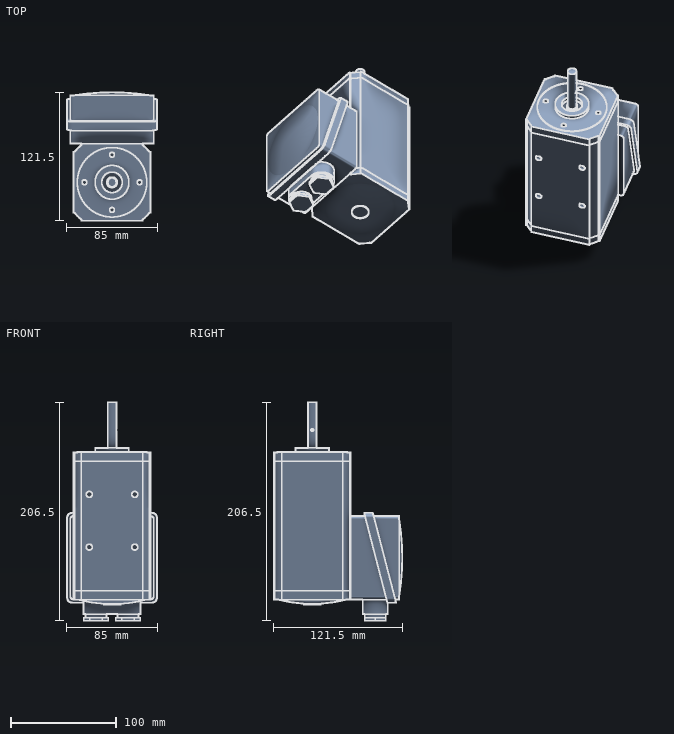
import cadquery as cq
import math


body_side = 72.9
body_face_width = 57.8
body_corner_radius = 45.6
motor_height = 138.8
end_plate_thickness = 8.0
face_y = body_side / 2

disc_radius = 32.8
disc_height = 0.6
pilot_diameter = 32.0
pilot_height = 4.3
recess_radius = 9.7
flange_hole_radius = 2.3
flange_hole_circle = 26.0

shaft_diameter = 8.5
shaft_top = 186.3
collar_radius = 5.0
collar_height = 1.9
cross_hole_radius = 1.0
cross_hole_z = 160.0

side_hole_diameter = 5.5
side_hole_depth = 10.3
side_hole_spacing_x = 43.0
side_hole_spacing_z = 49.8
side_hole_middle_z = 74.3

dome_radius = disc_radius
dome_height = 4.3
nub_radius = 8.0
nub_bottom = -5.0

box_side = 78.9
box_back_y = 82.0
box_corner_radius = 3.0
box_dome_height = 3.0
box_dome_radius = 37.2

band_side = 85.0
band_corner_radius = 5.2
band_width_y = 8.3
band_slope = math.tan(math.radians(14.5))
band_middle_y = 64.0

entry_y = 59.5
entry_radius = 12.0
entry_bottom = -13.8
gland_spacing = 30.1
gland_neck_diameter = 20.0
gland_neck_bottom = -17.1
gland_bottom = -20.2
gland_flats = 20.2
gland_corners = gland_flats / math.cos(math.radians(30))


def cylinder(radius, z_bottom, z_top):
    """Upright cylinder on the motor axis."""
    return cq.Workplane("XY").workplane(offset=z_bottom).circle(radius).extrude(z_top - z_bottom)


def square_section(z_bottom, z_top):
    """Length of the square body, its corners notched back to a circle about the axis."""
    plane = cq.Workplane("XY").workplane(offset=z_bottom)
    height = z_top - z_bottom
    rounded_square = plane.rect(body_side, body_side).extrude(height).intersect(
        cylinder(body_corner_radius, z_bottom, z_top)
    )
    faces_x = plane.rect(body_side, body_face_width).extrude(height)
    faces_y = plane.rect(body_face_width, body_side).extrude(height)
    return rounded_square.union(faces_x).union(faces_y).clean()


def spherical_cap(base_radius, height):
    """Shallow dome on the XY plane, bulging toward +Z."""
    sphere_radius = (base_radius**2 + height**2) / (2 * height)
    sphere = cq.Workplane("XY").sphere(sphere_radius).translate((0, 0, height - sphere_radius))
    return sphere.intersect(cylinder(base_radius, 0, height))


def make_flange():
    bottom = motor_height - end_plate_thickness
    pilot_top = motor_height + pilot_height
    flange = square_section(bottom, motor_height)
    flange = flange.union(cylinder(disc_radius, motor_height, motor_height + disc_height))
    flange = flange.union(cylinder(pilot_diameter / 2, motor_height, pilot_top))
    flange = flange.cut(cylinder(recess_radius, motor_height, pilot_top))
    flange = flange.cut(cylinder(collar_radius, bottom, motor_height))
    bolt_holes = (
        cq.Workplane("XY")
        .workplane(offset=bottom)
        .polarArray(flange_hole_circle, 0, 360, 4)
        .circle(flange_hole_radius)
        .extrude(end_plate_thickness + disc_height)
    )
    return flange.cut(bolt_holes)


def make_tube():
    tube = square_section(end_plate_thickness, motor_height - end_plate_thickness)
    side_holes = (
        cq.Workplane("XZ", origin=(0, -face_y, side_hole_middle_z))
        .rarray(side_hole_spacing_x, side_hole_spacing_z, 2, 2)
        .circle(side_hole_diameter / 2)
        .extrude(-side_hole_depth)
    )
    return tube.cut(side_holes)


def make_rear_cap():
    dome = spherical_cap(dome_radius, dome_height).rotate((0, 0, 0), (1, 0, 0), 180)
    cap = square_section(0, end_plate_thickness).union(dome)
    return cap.union(cylinder(nub_radius, nub_bottom, 0))


def make_shaft():
    shaft = cylinder(shaft_diameter / 2, motor_height, shaft_top)
    collar = cylinder(collar_radius, motor_height - end_plate_thickness, motor_height + collar_height)
    cross_hole = (
        cq.Workplane("YZ", origin=(0, 0, cross_hole_z))
        .circle(cross_hole_radius)
        .extrude(shaft_diameter / 2, both=True)
    )
    return shaft.union(collar).cut(cross_hole)


def rounded_prism(side, corner_radius, y_front, y_back):
    """Square prism along Y, centred on the terminal box, with rounded lengthwise edges."""
    return (
        cq.Workplane("XZ", origin=(0, y_front, box_side / 2))
        .rect(side, side)
        .extrude(y_front - y_back)
        .edges("|Y")
        .fillet(corner_radius)
    )


def make_band():
    """Rounded square band between two parallel planes that lean toward the motor at the top."""
    half_height = band_side / 2
    lean = band_slope * half_height
    half_width = band_width_y / 2
    slanted_slice = (
        cq.Workplane("YZ", origin=(0, band_middle_y, box_side / 2))
        .polyline([
            (lean - half_width, -half_height),
            (lean + half_width, -half_height),
            (-lean + half_width, half_height),
            (-lean - half_width, half_height),
        ])
        .close()
        .extrude(half_height, both=True)
    )
    return rounded_prism(band_side, band_corner_radius, face_y, box_back_y).intersect(slanted_slice)


def make_terminal_box():
    back_dome = (
        spherical_cap(box_dome_radius, box_dome_height)
        .rotate((0, 0, 0), (1, 0, 0), -90)
        .translate((0, box_back_y, box_side / 2))
    )
    box = rounded_prism(box_side, box_corner_radius, face_y, box_back_y)
    return box.union(back_dome).union(make_band())


def make_cable_entry():
    """Rounded block with two hexagonal cable glands, fitted around the band of the box."""
    entry = (
        cq.Workplane("XY", origin=(0, entry_y, entry_bottom))
        .slot2D(gland_spacing + 2 * entry_radius, 2 * entry_radius)
        .extrude(-entry_bottom)
    )
    for x in (-gland_spacing / 2, gland_spacing / 2):
        neck = (
            cq.Workplane("XY", origin=(x, entry_y, gland_neck_bottom))
            .circle(gland_neck_diameter / 2)
            .extrude(entry_bottom - gland_neck_bottom)
        )
        hexagon = (
            cq.Workplane("XY", origin=(x, entry_y, gland_bottom))
            .polygon(6, gland_corners)
            .extrude(gland_neck_bottom - gland_bottom)
        )
        entry = entry.union(neck).union(hexagon)
    return entry.cut(make_band())


flange = make_flange()
tube = make_tube()
rear_cap = make_rear_cap()
shaft = make_shaft()
terminal_box = make_terminal_box()
cable_entry = make_cable_entry()

result = cq.Compound.makeCompound([
    flange.val(),
    tube.val(),
    rear_cap.val(),
    shaft.val(),
    terminal_box.val(),
    cable_entry.val(),
])